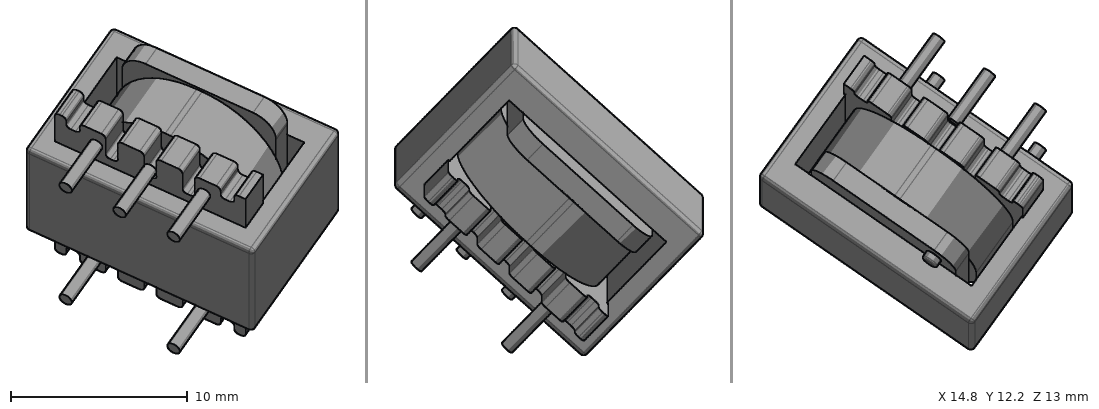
import cadquery as cq

CORE_WIDTH = 14.8
CORE_DEPTH = 10.0
CORE_HEIGHT = 7.6
CORE_EDGE_RADIUS = 0.27
WINDOW_WIDTH = 12.2
WALL_THICKNESS = 1.8
WINDOW_DEPTH = CORE_DEPTH - 2 * WALL_THICKNESS

REAR_FLANGE_WIDTH = 10.0
REAR_FLANGE_HEIGHT = 12.8
REAR_FLANGE_THICKNESS = 1.3
REAR_FLANGE_RADIUS = 1.51
REAR_FLANGE_BACK_Y = WINDOW_DEPTH / 2

WINDING_WIDTH = 11.0
WINDING_HEIGHT = 12.4
WINDING_DEPTH = 3.6
WINDING_FLAT = 0.35
WINDING_RADIUS = (WINDING_WIDTH - WINDING_FLAT) / 2
WINDING_BACK_Y = REAR_FLANGE_BACK_Y - REAR_FLANGE_THICKNESS

FRONT_FLANGE_WIDTH = 12.4
FRONT_FLANGE_HEIGHT = 13.0
FRONT_FLANGE_THICKNESS = 2.0
FRONT_FLANGE_BACK_Y = WINDING_BACK_Y - WINDING_DEPTH
FRONT_FACE_Y = FRONT_FLANGE_BACK_Y - FRONT_FLANGE_THICKNESS
FLANGE_EDGE_RADIUS = 0.3

SLOT_WIDTH = 0.8
SLOT_DEPTH = 2.0
SLOT_PITCH = 2.5
NOTCH_WIDTH = 0.89
NOTCH_DEPTH = 0.89
NOTCH_X = 5.02

PIN_DIAMETER = 0.81
PIN_PITCH = 3.51
PIN_Z = 5.25
PIN_TIP_Y = -7.21

PEG_DIAMETER = 0.99
PEG_LENGTH = 0.5
PEG_EDGE_RADIUS = 0.15
PEG_X = -PIN_PITCH
PEG_Z = 4.91


def plane_facing_front(y):
    """XZ plane at the given Y; extruding from it goes towards -Y."""
    return cq.Workplane("XZ", origin=(0, y, 0))


def make_core():
    block = cq.Workplane("XY").box(CORE_WIDTH, CORE_DEPTH, CORE_HEIGHT)
    block = block.edges().fillet(CORE_EDGE_RADIUS)
    window = cq.Workplane("XY").box(WINDOW_WIDTH, WINDOW_DEPTH, CORE_HEIGHT)
    return block.cut(window)


def make_rear_flange():
    plate = plane_facing_front(REAR_FLANGE_BACK_Y).rect(REAR_FLANGE_WIDTH, REAR_FLANGE_HEIGHT)
    return plate.extrude(REAR_FLANGE_THICKNESS).edges("|Y").fillet(REAR_FLANGE_RADIUS)


def make_winding():
    coil = plane_facing_front(WINDING_BACK_Y).rect(WINDING_WIDTH, WINDING_HEIGHT)
    return coil.extrude(WINDING_DEPTH).edges("|Y").fillet(WINDING_RADIUS)


def edge_cutout(x, side, width, depth):
    """Cutter open at the upper (side = 1) or lower (side = -1) edge of the front flange."""
    z = side * FRONT_FLANGE_HEIGHT / 2
    cutter = plane_facing_front(FRONT_FLANGE_BACK_Y).center(x, z).rect(width, 2 * depth)
    return cutter.extrude(FRONT_FLANGE_THICKNESS)


def make_front_flange():
    plate = plane_facing_front(FRONT_FLANGE_BACK_Y).rect(FRONT_FLANGE_WIDTH, FRONT_FLANGE_HEIGHT)
    flange = plate.extrude(FRONT_FLANGE_THICKNESS)
    for side in (-1, 1):
        for x in (-SLOT_PITCH, 0, SLOT_PITCH):
            flange = flange.cut(edge_cutout(x, side, SLOT_WIDTH, SLOT_DEPTH))
        for x in (-NOTCH_X, NOTCH_X):
            flange = flange.cut(edge_cutout(x, side, NOTCH_WIDTH, NOTCH_DEPTH))
    square_corner = cq.selectors.NearestToPointSelector(
        (FRONT_FLANGE_WIDTH / 2, FRONT_FACE_Y + FRONT_FLANGE_THICKNESS / 2, FRONT_FLANGE_HEIGHT / 2)
    )
    rounded_corners = cq.selectors.SubtractSelector(cq.selectors.StringSyntaxSelector("|Y"), square_corner)
    return flange.edges(rounded_corners).fillet(FLANGE_EDGE_RADIUS)


def make_pin(x, z):
    """Pin standing on the front face; slightly wider than a slot, so it also bears on the sides of one."""
    root = plane_facing_front(FRONT_FACE_Y).center(x, z).circle(PIN_DIAMETER / 2)
    return root.extrude(FRONT_FACE_Y - PIN_TIP_Y)


def make_peg():
    base = plane_facing_front(REAR_FLANGE_BACK_Y).center(PEG_X, PEG_Z).circle(PEG_DIAMETER / 2)
    return base.extrude(-PEG_LENGTH).faces(">Y").edges().fillet(PEG_EDGE_RADIUS)


def make_bobbin(core):
    """Wound bobbin with its pins, stepped where the front flange fits around the core."""
    bobbin = make_rear_flange().union(make_winding()).union(make_front_flange())
    bobbin = bobbin.cut(core).union(make_peg())
    pin_places = [
        (-PIN_PITCH, PIN_Z),
        (0, PIN_Z),
        (PIN_PITCH, PIN_Z),
        (-PIN_PITCH, -PIN_Z),
        (PIN_PITCH, -PIN_Z),
    ]
    for x, z in pin_places:
        bobbin = bobbin.union(make_pin(x, z))
    return bobbin


core = make_core()
bobbin = make_bobbin(core)

result = cq.Compound.makeCompound([core.val(), bobbin.val()])